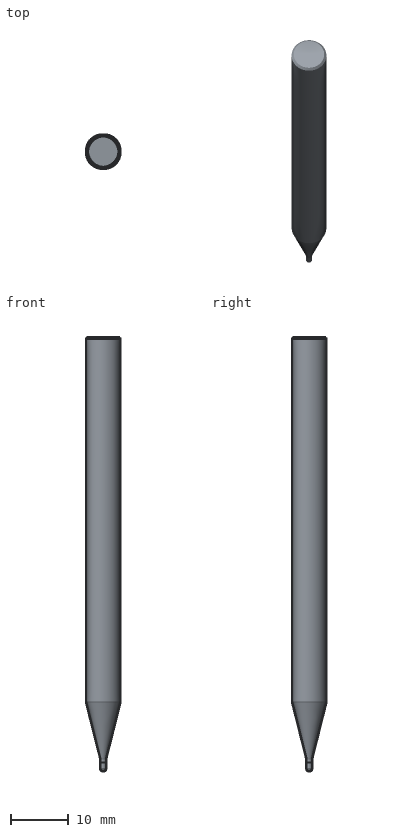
import cadquery as cq
import math

total_length = 75.0
shank_radius = 3.0
shank_start = 12.0
chamfer_size = 0.4

tip_radius = 0.5
tip_length = 1.5
neck_radius = 0.5
neck_end = 2.2


def make_shank():
    """Chamfered shank that tapers down to the thin neck."""
    return (
        cq.Workplane("XZ")
        .moveTo(0, tip_length)
        .lineTo(neck_radius, tip_length)
        .lineTo(neck_radius, neck_end)
        .lineTo(shank_radius, shank_start)
        .lineTo(shank_radius, total_length - chamfer_size)
        .lineTo(shank_radius - chamfer_size, total_length)
        .lineTo(0, total_length)
        .close()
        .revolve(360, (0, 0, 0), (0, 1, 0))
    )


def make_cutting_tip():
    """Short cylinder with a hemispherical lower end."""
    arc_offset = tip_radius * math.sqrt(0.5)
    return (
        cq.Workplane("XZ")
        .moveTo(0, 0)
        .threePointArc((arc_offset, tip_radius - arc_offset), (tip_radius, tip_radius))
        .lineTo(tip_radius, tip_length)
        .lineTo(0, tip_length)
        .close()
        .revolve(360, (0, 0, 0), (0, 1, 0))
    )


shank = make_shank()
cutting_tip = make_cutting_tip()

result = cq.Compound.makeCompound([shank.val(), cutting_tip.val()])